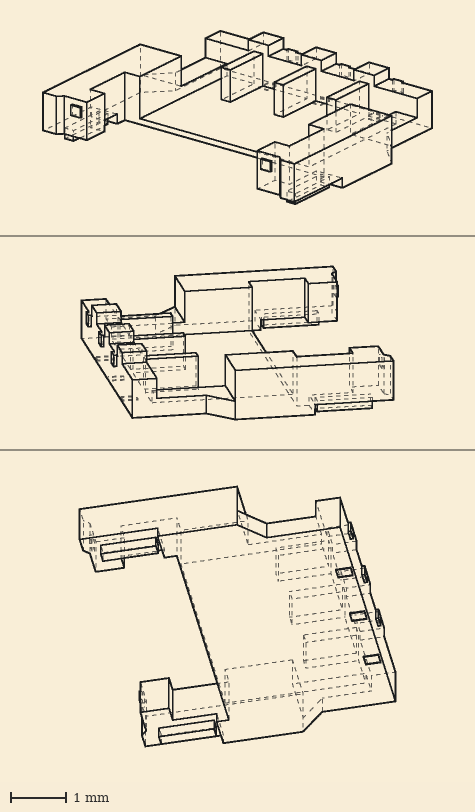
import cadquery as cq


width = 5.7
height = 0.95
wall_back = 4.72
half_width = width / 2

foot_standoff = 0.015
floor_top = 0.13
floor_front = 1.67
rail_top = 0.365
shoulder = 0.45
shoulder_front = 2.91
rail_inner = 1.915
rear_half_width = half_width - shoulder

wall_thickness = 0.45
wall_top = 0.74
wall_front = wall_back - wall_thickness
position_pitch = 1.195
position_offsets = [-position_pitch, 0, position_pitch]
key_width = 0.455
rib_width = 0.205
rib_length = 0.975
rib_top = 0.76

arm_width = 0.59
arm_bottom = 0.21
leg_front = 1.44
arm_inner = half_width - arm_width
hook_inner = 1.93
hook_front = 0.1
hook_back = 0.63
tip_width = 0.31

mark_width = 0.21
hook_mark_depth = 0.045
hook_mark_height = 0.2
hook_mark_bottom = 0.63
wall_mark_depth = 0.05
wall_mark_height = 0.215
wall_mark_shift = 0.405

arm_foot_width = 0.2
arm_foot_inset = 0.235
arm_foot_front = 0.34
arm_foot_length = 1.02
wall_foot_back = 4.68
wall_foot_length = 0.275


def box(x_min, x_max, y_min, y_max, z_min, z_max):
    """Block between the given coordinates."""
    size = (x_max - x_min, y_max - y_min, z_max - z_min)
    return cq.Workplane("XY").box(*size, centered=False).translate((x_min, y_min, z_min))


def centered_block(x_middle, block_width, y_min, y_max, z_min, z_max):
    """Block whose width is centred on x_middle."""
    half = block_width / 2
    return box(x_middle - half, x_middle + half, y_min, y_max, z_min, z_max)


def prism(points, z_min, z_max):
    """Upright prism over a plan outline."""
    return cq.Workplane("XY").workplane(offset=z_min).polyline(points).close().extrude(z_max - z_min)


def make_rail():
    """Right side rail, tapering out at the shoulder and joining the arm's block."""
    outline = [
        (rail_inner, floor_front),
        (half_width, floor_front),
        (half_width, shoulder_front),
        (rear_half_width, shoulder_front + shoulder),
        (rear_half_width, wall_back),
        (rail_inner, wall_back),
    ]
    return prism(outline, foot_standoff, rail_top)


def make_arm():
    """Right arm with its hook, from the shoulder forward to the tip."""
    tip_inner = half_width - tip_width
    outline = [
        (half_width, 0),
        (half_width, shoulder_front),
        (rail_inner, shoulder_front),
        (rail_inner, floor_front),
        (arm_inner, floor_front),
        (arm_inner, hook_back),
        (hook_inner, hook_back),
        (hook_inner, hook_front),
        (tip_inner - hook_front, hook_front),
        (tip_inner, 0),
    ]
    return prism(outline, arm_bottom, height)


def make_side():
    """Complete right side: rail, arm, leg, solder foot and gate mark."""
    leg = box(arm_inner, half_width, leg_front, floor_front, foot_standoff, arm_bottom)
    foot_outer = half_width - arm_foot_inset
    foot_back = arm_foot_front + arm_foot_length
    foot = box(foot_outer - arm_foot_width, foot_outer, arm_foot_front, foot_back, 0, arm_bottom)
    mark_top = hook_mark_bottom + hook_mark_height
    mark = box(arm_inner - mark_width, arm_inner, hook_front - hook_mark_depth, hook_front,
               hook_mark_bottom, mark_top)
    return make_rail().union(make_arm()).union(leg).union(foot).union(mark)


def make_position(x):
    """Key, rib, solder foot and rear gate mark of one contact position."""
    key = centered_block(x, key_width, wall_front, wall_back, wall_top, height)
    rib = centered_block(x, rib_width, wall_front - rib_length, wall_front, floor_top, rib_top)
    foot = centered_block(x, rib_width, wall_foot_back - wall_foot_length, wall_foot_back,
                          0, foot_standoff)
    mark = centered_block(x + wall_mark_shift, mark_width, wall_back, wall_back + wall_mark_depth,
                          wall_top - wall_mark_height, wall_top)
    return key.union(rib).union(foot).union(mark)


floor = box(-rail_inner, rail_inner, floor_front, wall_back, foot_standoff, floor_top)
wall = box(-rear_half_width, rear_half_width, wall_front, wall_back, foot_standoff, wall_top)
right_side = make_side()
left_side = right_side.mirror("YZ")

result = floor.union(wall).union(right_side).union(left_side)
for offset in position_offsets:
    result = result.union(make_position(offset))